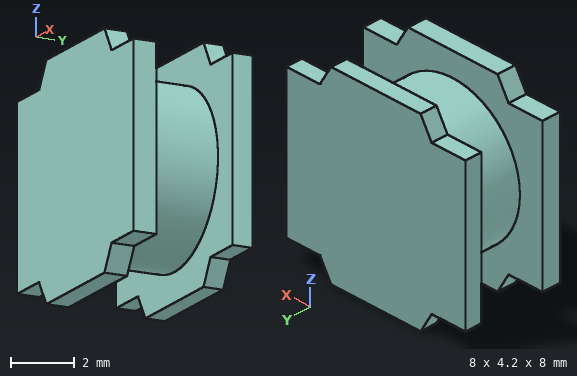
import cadquery as cq
import math

plate_size = 8.0
total_depth = 4.2
front_plate_thickness = 0.8
back_plate_thickness = 0.7
drum_diameter = 6.0

shoulder_height = 6.3
tab_tip_width = 4.0
tab_flank_angle = 60.0

half_size = plate_size / 2
half_shoulder = shoulder_height / 2
half_tip = tab_tip_width / 2
tab_height = half_size - half_shoulder
half_base = half_tip + tab_height / math.tan(math.radians(tab_flank_angle))
front_y = -total_depth / 2
back_y = total_depth / 2


def plane_at(y):
    """Plane parallel to XZ, whose normal points along +Y."""
    return cq.Plane(origin=(0, y, 0), xDir=(-1, 0, 0), normal=(0, 1, 0))


def plate(start_y, thickness):
    """Notched plate that grows toward +Y from start_y."""
    upper = [
        (half_size, half_shoulder),
        (half_base, half_shoulder),
        (half_tip, half_size),
        (-half_tip, half_size),
        (-half_base, half_shoulder),
        (-half_size, half_shoulder),
    ]
    lower = [(-x, -z) for x, z in upper]
    return cq.Workplane(plane_at(start_y)).polyline(upper + lower).close().extrude(thickness)


front_plate = plate(front_y, front_plate_thickness)
back_plate = plate(back_y - back_plate_thickness, back_plate_thickness)

drum_length = total_depth - front_plate_thickness - back_plate_thickness
drum_start_y = front_y + front_plate_thickness
drum = cq.Workplane(plane_at(drum_start_y)).circle(drum_diameter / 2).extrude(drum_length)

result = front_plate.union(drum).union(back_plate)